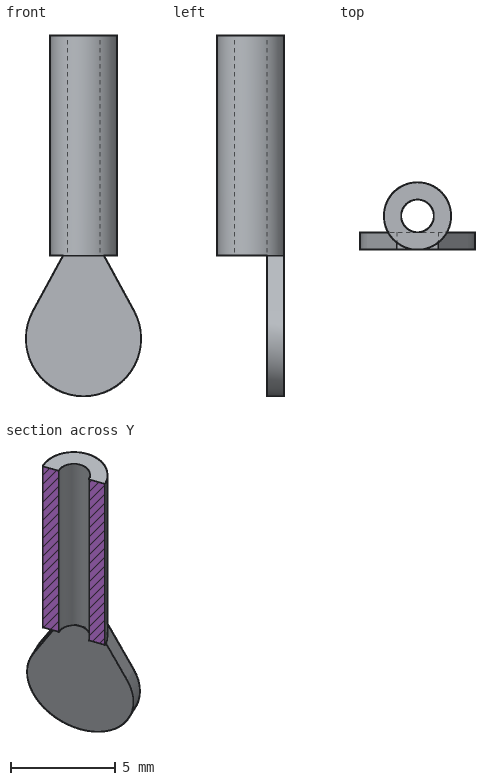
import cadquery as cq
import math

total_height = 17.3
tube_diameter = 3.24
bore_diameter = 1.55
tube_length = 10.55
paddle_radius = 2.77
paddle_thickness = 0.83
neck_width = 1.97

tube_bottom = total_height - tube_length
tube_front = -tube_diameter / 2
neck_half = neck_width / 2
neck_rise = tube_bottom - paddle_radius

neck_distance = math.hypot(neck_half, neck_rise)
tangent_angle = math.atan2(neck_rise, neck_half) - math.acos(paddle_radius / neck_distance)
tangent_x = paddle_radius * math.cos(tangent_angle)
tangent_z = paddle_radius + paddle_radius * math.sin(tangent_angle)


def make_tube():
    """Hollow round tube standing on the neck of the paddle."""
    return (
        cq.Workplane("XY", origin=(0, 0, tube_bottom))
        .circle(tube_diameter / 2)
        .circle(bore_diameter / 2)
        .extrude(tube_length)
    )


def make_paddle():
    """Flat teardrop, flush with the front of the tube."""
    return (
        cq.Workplane("XZ", origin=(0, tube_front, 0))
        .moveTo(-neck_half, tube_bottom)
        .lineTo(-tangent_x, tangent_z)
        .threePointArc((0, 0), (tangent_x, tangent_z))
        .lineTo(neck_half, tube_bottom)
        .close()
        .extrude(-paddle_thickness)
    )


result = make_tube().union(make_paddle())